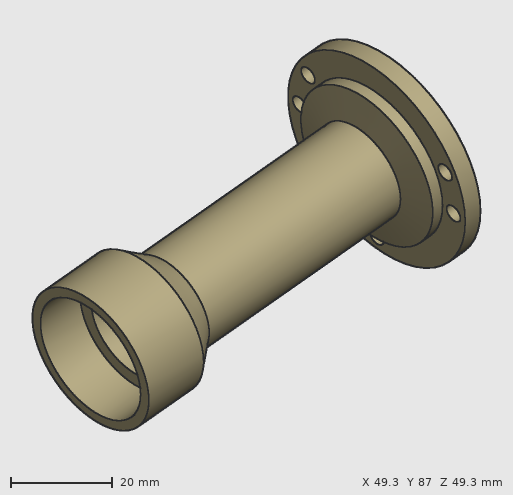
import cadquery as cq
import math

length = 87.0
socket_diameter = 32.4
tube_diameter = 22.4
collar_diameter = 36.7
flange_diameter = 49.3
spigot_diameter = 33.9

socket_end = 15.1
socket_cone_end = 21.65
tube_end = 74.5
collar_start = 76.4
flange_start = 79.05
flange_end = 83.3

socket_bore_diameter = 27.8
socket_depth = 11.0
bore_entry_diameter = 21.6
bore_diameter = 18.8

hole_diameter = 3.8
hole_circle_diameter = 42.8
upper_hole_angle = 27.0
hole_angles = (0, upper_hole_angle, 180 - upper_hole_angle, 180, 270)


def make_body():
    """Revolve the hollow wall section, given as (radius, y) points."""
    wall_section = [
        (socket_bore_diameter / 2, 0),
        (socket_diameter / 2, 0),
        (socket_diameter / 2, socket_end),
        (tube_diameter / 2, socket_cone_end),
        (tube_diameter / 2, tube_end),
        (collar_diameter / 2, collar_start),
        (collar_diameter / 2, flange_start),
        (flange_diameter / 2, flange_start),
        (flange_diameter / 2, flange_end),
        (spigot_diameter / 2, flange_end),
        (spigot_diameter / 2, length),
        (bore_diameter / 2, length),
        (bore_diameter / 2, socket_cone_end),
        (bore_entry_diameter / 2, socket_depth),
        (socket_bore_diameter / 2, socket_depth),
    ]
    section = cq.Workplane("XY").polyline(wall_section).close()
    return section.revolve(360, (0, 0, 0), (0, 1, 0))


def make_flange_holes():
    """Cylinders that pass through the flange along Y."""
    hole_circle_radius = hole_circle_diameter / 2
    centres = [
        (
            hole_circle_radius * math.cos(math.radians(angle)),
            hole_circle_radius * math.sin(math.radians(angle)),
        )
        for angle in hole_angles
    ]
    plane = cq.Workplane("XZ", origin=(0, flange_start, 0))
    holes = plane.pushPoints(centres).circle(hole_diameter / 2)
    return holes.extrude(-(flange_end - flange_start))


result = make_body().cut(make_flange_holes())